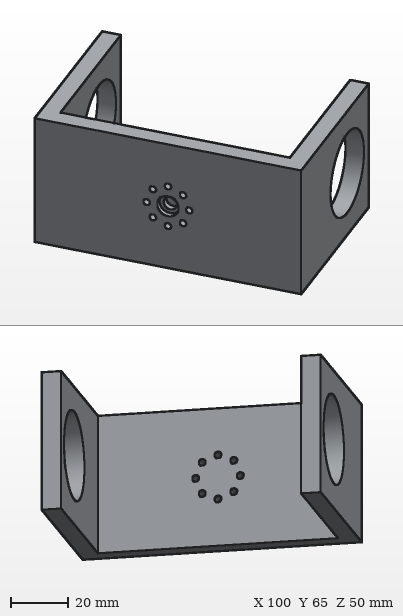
import cadquery as cq

length = 100.0
depth = 65.0
height = 50.0
wall = 7.0

window_diameter = 32.0
window_to_arm_end = 20.7

mount_hole_count = 8
mount_hole_diameter = 2.4
mount_circle_radius = 8.0

recess_diameter = 8.0
recess_depth = 2.3
inner_recess_diameter = 5.0
inner_recess_depth = 5.0

front_y = -depth / 2
window_y = depth / 2 - window_to_arm_end


def bracket_body():
    """Front wall with two arms reaching toward +Y."""
    block = cq.Workplane("XY").box(length, depth, height)
    opening = (
        cq.Workplane("XY")
        .box(length - 2 * wall, depth - wall, height)
        .translate((0, wall / 2, 0))
    )
    return block.cut(opening)


def arm_windows():
    """One cylinder that opens both arms."""
    return (
        cq.Workplane("YZ")
        .center(window_y, 0)
        .circle(window_diameter / 2)
        .extrude(length / 2, both=True)
    )


def front_plane():
    """Outer face of the front wall; negative extrusion goes into the wall."""
    return cq.Workplane("XZ", origin=(0, front_y, 0))


def mount_holes():
    """Ring of holes through the front wall."""
    return (
        front_plane()
        .polarArray(mount_circle_radius, 0, 360, mount_hole_count)
        .circle(mount_hole_diameter / 2)
        .extrude(-wall)
    )


def center_recess():
    """Wide shallow recess with a narrower, deeper one in its floor."""
    outer = front_plane().circle(recess_diameter / 2).extrude(-recess_depth)
    inner = front_plane().circle(inner_recess_diameter / 2).extrude(-inner_recess_depth)
    return outer.union(inner)


result = (
    bracket_body()
    .cut(arm_windows())
    .cut(mount_holes())
    .cut(center_recess())
)